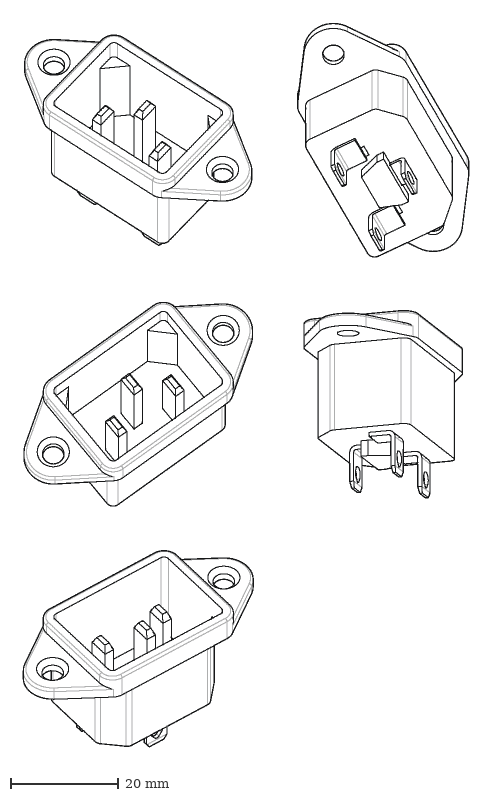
import cadquery as cq
import math


RIM_LENGTH = 30.5
RIM_WIDTH = 22.5
RIM_HEIGHT = 5.0
RIM_CORNER_RADIUS = 3.0
EDGE_FILLET = 0.5

EAR_SPAN = 51.0
EAR_THICKNESS = 2.5
EAR_RADIUS = 5.5
SCREW_X = EAR_SPAN / 2 - EAR_RADIUS
SCREW_DIAMETER = 4.0
COUNTERSINK_DIAMETER = 6.0
COUNTERSINK_ANGLE = 90.0

RIM_OVERHANG = 1.5
SHELL_LENGTH = RIM_LENGTH - 2 * RIM_OVERHANG
SHELL_WIDTH = RIM_WIDTH - 2 * RIM_OVERHANG
SHELL_DEPTH = 16.6
SHELL_CORNER_RADIUS = RIM_CORNER_RADIUS - RIM_OVERHANG

SHELL_WALL = 0.5
FLOOR_THICKNESS = 1.5
CAVITY_LENGTH = SHELL_LENGTH - 2 * SHELL_WALL
CAVITY_WIDTH = SHELL_WIDTH - 2 * SHELL_WALL
CAVITY_CORNER_RADIUS = SHELL_CORNER_RADIUS - SHELL_WALL
FLOOR_Z = FLOOR_THICKNESS - SHELL_DEPTH
KEY_LEG = 4.0
KEY_TOP_Z = 0.5
SHELL_CHAMFER = KEY_LEG + SHELL_WALL * (2 - math.sqrt(2))

BLOCK_HEIGHT = 3.0
BLOCK_HALF_LENGTH = 5.0
BLOCK_FRONT_HALF_LENGTH = 3.6
BLOCK_HALF_WIDTH = 2.7
BLOCK_TAPER_START_Y = 1.3

BLADE_THICKNESS = 2.0
BLADE_WIDTH = 4.0
CENTRE_BLADE_TOP_Z = 3.5
SIDE_BLADE_TOP_Z = 0.5
BLADE_TIP_HEIGHT = 1.5
BLADE_TIP_SIDE_INSET = 0.5
BLADE_TIP_END_INSET = 0.75
SIDE_BLADE_X = 6.75
BLADE_Y = 2.0

TAB_THICKNESS = 0.8
TAB_WIDTH = 4.8
TAB_OUTER_Y = 5.8
TAB_END_Z = -24.6
LEG_START_Y = 0.7
BEND_INNER_RADIUS = 0.5
SIDE_TAB_X = 7.6
TAB_TIP_HEIGHT = 1.1
TAB_TIP_SIDE_INSET = 0.7
TAB_TIP_FACE_INSET = 0.12

EYE_RADIUS = 1.3
EYE_Z = -21.4
EYE_POINT_RADIUS = 0.6
EYE_POINT_DROP = 1.15


def outer_tangent_points(centre_a, radius_a, centre_b, radius_b):
    """Contact points of the outer tangent on the left side of the line from a to b."""
    dx = centre_b[0] - centre_a[0]
    dy = centre_b[1] - centre_a[1]
    tilt = math.acos((radius_a - radius_b) / math.hypot(dx, dy))
    normal = math.atan2(dy, dx) + tilt
    return [
        (centre[0] + radius * math.cos(normal), centre[1] + radius * math.sin(normal))
        for centre, radius in ((centre_a, radius_a), (centre_b, radius_b))
    ]


def rounded_block(length, width, corner_radius, bottom_z, top_z):
    return (
        cq.Workplane("XY")
        .workplane(offset=bottom_z)
        .rect(length, width)
        .extrude(top_z - bottom_z)
        .edges("|Z")
        .fillet(corner_radius)
    )


def make_ears():
    """Plate with both screw ears, each tangent to the rim corners."""
    rim_corner = (
        RIM_LENGTH / 2 - RIM_CORNER_RADIUS,
        RIM_WIDTH / 2 - RIM_CORNER_RADIUS,
    )
    (ear_x, ear_y), (rim_x, rim_y) = outer_tangent_points(
        (-SCREW_X, 0), EAR_RADIUS, (-rim_corner[0], rim_corner[1]), RIM_CORNER_RADIUS
    )
    return (
        cq.Workplane("XY")
        .moveTo(rim_x, rim_y)
        .lineTo(-rim_x, rim_y)
        .lineTo(-ear_x, ear_y)
        .threePointArc((EAR_SPAN / 2, 0), (-ear_x, -ear_y))
        .lineTo(-rim_x, -rim_y)
        .lineTo(rim_x, -rim_y)
        .lineTo(ear_x, -ear_y)
        .threePointArc((-EAR_SPAN / 2, 0), (ear_x, ear_y))
        .close()
        .extrude(EAR_THICKNESS)
        .faces(">Z")
        .edges()
        .fillet(EDGE_FILLET)
        .faces(">Z")
        .workplane(origin=(0, 0, EAR_THICKNESS))
        .pushPoints([(-SCREW_X, 0), (SCREW_X, 0)])
        .cskHole(SCREW_DIAMETER, COUNTERSINK_DIAMETER, COUNTERSINK_ANGLE)
    )


def keyed_block(length, width, chamfer, bottom_z, top_z):
    """Block with 45 degree cuts on its two +Y corners."""
    return (
        cq.Workplane("XY")
        .workplane(offset=bottom_z)
        .rect(length, width)
        .extrude(top_z - bottom_z)
        .edges("|Z and >Y")
        .chamfer(chamfer)
    )


def make_cavity():
    """Socket space: rounded above the keyed corners, cut at 45 degrees beside them."""
    upper = rounded_block(
        CAVITY_LENGTH, CAVITY_WIDTH, CAVITY_CORNER_RADIUS, KEY_TOP_Z, RIM_HEIGHT
    )
    lower = keyed_block(CAVITY_LENGTH, CAVITY_WIDTH, KEY_LEG, FLOOR_Z, KEY_TOP_Z)
    lower = lower.edges("|Z and <Y").fillet(CAVITY_CORNER_RADIUS)
    return upper.union(lower)


def make_block():
    """Block under the floor, narrowing towards -Y."""
    return (
        cq.Workplane("XY")
        .workplane(offset=-SHELL_DEPTH - BLOCK_HEIGHT)
        .polyline([
            (-BLOCK_HALF_LENGTH, BLOCK_HALF_WIDTH),
            (-BLOCK_HALF_LENGTH, BLOCK_TAPER_START_Y),
            (-BLOCK_FRONT_HALF_LENGTH, -BLOCK_HALF_WIDTH),
            (BLOCK_FRONT_HALF_LENGTH, -BLOCK_HALF_WIDTH),
            (BLOCK_HALF_LENGTH, BLOCK_TAPER_START_Y),
            (BLOCK_HALF_LENGTH, BLOCK_HALF_WIDTH),
        ])
        .close()
        .extrude(BLOCK_HEIGHT)
    )


def make_housing(pins):
    """Rim, ears, shell and block, with the cavity and a matching slot for every pin."""
    rim = rounded_block(RIM_LENGTH, RIM_WIDTH, RIM_CORNER_RADIUS, 0, RIM_HEIGHT)
    rim = rim.faces(">Z").edges().fillet(EDGE_FILLET)
    shell = keyed_block(SHELL_LENGTH, SHELL_WIDTH, SHELL_CHAMFER, -SHELL_DEPTH, 0)
    shell = shell.edges("|Z").fillet(SHELL_CORNER_RADIUS)
    housing = rim.union(make_ears()).union(shell).cut(make_cavity()).union(make_block())
    for pin in pins:
        housing = housing.cut(pin)
    return housing


def make_blade(top_z):
    """Contact blade centred on X = 0, with a bevelled tip."""
    tip_base_z = top_z - BLADE_TIP_HEIGHT
    shank = (
        cq.Workplane("XY")
        .workplane(offset=-SHELL_DEPTH)
        .center(0, BLADE_Y)
        .rect(BLADE_THICKNESS, BLADE_WIDTH)
        .extrude(tip_base_z + SHELL_DEPTH)
    )
    tip = (
        cq.Workplane("XY")
        .workplane(offset=tip_base_z)
        .center(0, BLADE_Y)
        .rect(BLADE_THICKNESS, BLADE_WIDTH)
        .workplane(offset=BLADE_TIP_HEIGHT)
        .rect(
            BLADE_THICKNESS - 2 * BLADE_TIP_SIDE_INSET,
            BLADE_WIDTH - 2 * BLADE_TIP_END_INSET,
        )
        .loft(ruled=True)
    )
    return shank.union(tip)


def make_eye():
    """Teardrop wire hole with its small end down."""
    point_z = EYE_Z - EYE_POINT_DROP
    point_end_z = point_z - EYE_POINT_RADIUS
    (eye_x, eye_z), (point_x, point_side_z) = outer_tangent_points(
        (0, EYE_Z), EYE_RADIUS, (0, point_z), EYE_POINT_RADIUS
    )
    return (
        cq.Workplane("XZ")
        .moveTo(eye_x, eye_z)
        .threePointArc((0, EYE_Z + EYE_RADIUS), (-eye_x, eye_z))
        .lineTo(-point_x, point_side_z)
        .threePointArc((0, point_end_z), (point_x, point_side_z))
        .close()
        .extrude(-TAB_OUTER_Y)
    )


def make_tab():
    """Solder tab centred on X = 0: a leg under the floor with a rounded bend down."""
    tip_base_z = TAB_END_Z + TAB_TIP_HEIGHT
    inner_y = TAB_OUTER_Y - TAB_THICKNESS
    leg_bottom_z = -SHELL_DEPTH - TAB_THICKNESS
    bent_strip = (
        cq.Workplane("YZ")
        .polyline([
            (LEG_START_Y, -SHELL_DEPTH),
            (TAB_OUTER_Y, -SHELL_DEPTH),
            (TAB_OUTER_Y, tip_base_z),
            (inner_y, tip_base_z),
            (inner_y, leg_bottom_z),
            (LEG_START_Y, leg_bottom_z),
        ])
        .close()
        .extrude(TAB_WIDTH / 2, both=True)
    )
    inner_bend = cq.selectors.NearestToPointSelector((0, inner_y, leg_bottom_z))
    outer_bend = cq.selectors.NearestToPointSelector((0, TAB_OUTER_Y, -SHELL_DEPTH))
    bent_strip = bent_strip.edges(inner_bend).fillet(BEND_INNER_RADIUS)
    bent_strip = bent_strip.edges(outer_bend).fillet(BEND_INNER_RADIUS + TAB_THICKNESS)
    tip = (
        cq.Workplane("XY")
        .workplane(offset=TAB_END_Z)
        .center(0, TAB_OUTER_Y - TAB_THICKNESS / 2)
        .rect(TAB_WIDTH - 2 * TAB_TIP_SIDE_INSET, TAB_THICKNESS - 2 * TAB_TIP_FACE_INSET)
        .workplane(offset=TAB_TIP_HEIGHT)
        .rect(TAB_WIDTH, TAB_THICKNESS)
        .loft(ruled=True)
    )
    return bent_strip.union(tip).cut(make_eye())


def make_centre_pin():
    return make_blade(CENTRE_BLADE_TOP_Z).union(make_tab())


def make_side_pin(side):
    """Side pin with its tab towards -Y; side is -1 for -X and +1 for +X."""
    blade = make_blade(SIDE_BLADE_TOP_Z).translate((side * SIDE_BLADE_X, 0, 0))
    tab = make_tab().translate((side * SIDE_TAB_X, 0, 0))
    return blade.union(tab).mirror("XZ")


centre_pin = make_centre_pin()
side_pins = [make_side_pin(side) for side in (-1, 1)]
housing = make_housing([centre_pin, *side_pins])

result = cq.Compound.makeCompound([
    housing.val(),
    centre_pin.val(),
    *[pin.val() for pin in side_pins],
])